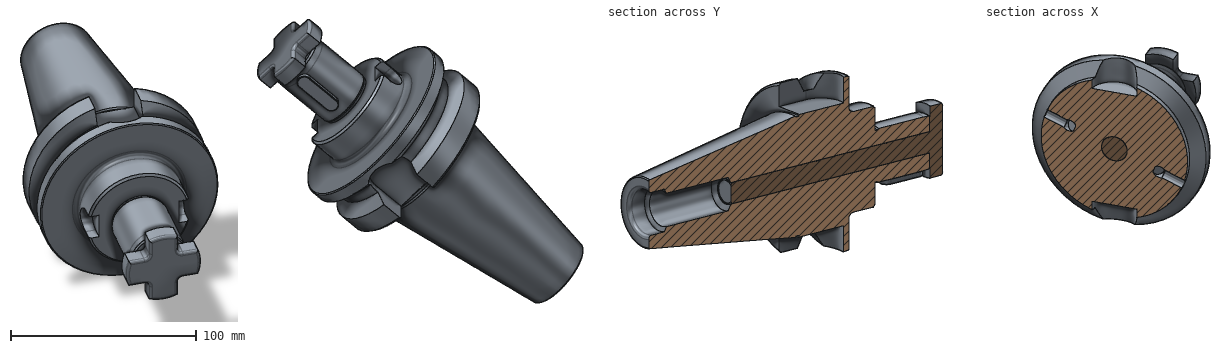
import cadquery as cq
import math

SMALL_END_RADIUS = 20.0
SMALL_END_CHAMFER = 0.6
TAPER_LENGTH = 101.8
TAPER_RATIO = 7 / 24
TAPER_END_RADIUS = SMALL_END_RADIUS + TAPER_LENGTH * TAPER_RATIO / 2
UNDERCUT_DEPTH = 0.6
UNDERCUT_RAMP = 1.0

FLANGE_RADIUS = 50.0
FLANGE_START = 104.7
FLANGE_END = 139.5
FLANGE_BACK_CHAMFER = 1.2
FLANGE_FRONT_CHAMFER = 0.6

GROOVE_FLOOR_RADIUS = 42.2
GROOVE_FLOOR_START = 121.9
GROOVE_FLOOR_END = 128.0
GROOVE_FLANK_ANGLE = 30
GROOVE_FLANK_RUN = (FLANGE_RADIUS - GROOVE_FLOOR_RADIUS) * math.tan(math.radians(GROOVE_FLANK_ANGLE))

COLLAR_RADIUS = 29.0
COLLAR_END = 157.7
COLLAR_CHAMFER = 1.2
COLLAR_ROOT_FILLET = 3.0

SPIGOT_RADIUS = 16.0
SPIGOT_RELIEF_END = 160.0
SPIGOT_LEAD_START = 190.9
SPIGOT_LEAD_END = 194.5
SPIGOT_LEAD_DROP = 0.2
SPIGOT_END = 195.8
SPIGOT_END_RADIUS = 15.2

PILOT_RADIUS = 12.7
MOUTH_ROUNDING = 2.0
PILOT_DEPTH = 10.9
THREAD_RADIUS = 10.2
THREAD_DEPTH = 55.3
STEP_CONE_DEPTH = 1.5
DRILL_POINT_HALF_ANGLE = 59
SCREW_HOLE_RADIUS = 7.2
DRILL_POINT_LENGTH = (THREAD_RADIUS - SCREW_HOLE_RADIUS) / math.tan(math.radians(DRILL_POINT_HALF_ANGLE))
SCREW_HOLE_START = THREAD_DEPTH + DRILL_POINT_LENGTH

DRIVE_SLOT_WIDTH = 25.8
DRIVE_SLOT_END = 136.2
DRIVE_SLOT_FLOOR = 35.0

COLLAR_SLOT_WIDTH = 14.3
COLLAR_SLOT_START = 144.0
COLLAR_SLOT_FLOOR = 22.5

COOLANT_ANGLE = 20
COOLANT_PITCH_RADIUS = 41.8
COOLANT_TILT = 35
COOLANT_DIAMETER = 6.3
COOLANT_DEPTH = 26.6
PLUG_HOLE_DIAMETER = 5.0
PLUG_HOLE_X = (GROOVE_FLOOR_START + GROOVE_FLOOR_END) / 2
PLUG_HOLE_DEPTH = 12.3

KEY_START = 164.9
KEY_LENGTH = 28.0
KEY_WIDTH = 8.0
KEY_HEIGHT = 7.0
KEY_OUTER_Z = -18.5
KEY_CHAMFER = 0.5

HEAD_DIAMETER = 42.0
HEAD_RADIUS = HEAD_DIAMETER / 2
HEAD_END = 204.8
LOBE_WIDTH = 16.0
NOTCH_FILLET = 2.9
HEAD_EDGE_FILLET = 1.6
SCREW_TIP_CHAMFER = 0.8


def revolve_about_x(profile):
    """Solid of revolution about X of a closed profile drawn as (x, radius)."""
    return profile.close().revolve(360, (0, 0, 0), (1, 0, 0))


def holder_blank():
    profile = (
        cq.Workplane("XZ")
        .moveTo(0, 0)
        .lineTo(0, SMALL_END_RADIUS - SMALL_END_CHAMFER)
        .lineTo(SMALL_END_CHAMFER, SMALL_END_RADIUS + SMALL_END_CHAMFER * TAPER_RATIO / 2)
        .lineTo(TAPER_LENGTH, TAPER_END_RADIUS)
        .lineTo(TAPER_LENGTH + UNDERCUT_RAMP, TAPER_END_RADIUS - UNDERCUT_DEPTH)
        .lineTo(FLANGE_START, TAPER_END_RADIUS - UNDERCUT_DEPTH)
        .lineTo(FLANGE_START, FLANGE_RADIUS - FLANGE_BACK_CHAMFER)
        .lineTo(FLANGE_START + FLANGE_BACK_CHAMFER, FLANGE_RADIUS)
        .lineTo(GROOVE_FLOOR_START - GROOVE_FLANK_RUN, FLANGE_RADIUS)
        .lineTo(GROOVE_FLOOR_START, GROOVE_FLOOR_RADIUS)
        .lineTo(GROOVE_FLOOR_END, GROOVE_FLOOR_RADIUS)
        .lineTo(GROOVE_FLOOR_END + GROOVE_FLANK_RUN, FLANGE_RADIUS)
        .lineTo(FLANGE_END - FLANGE_FRONT_CHAMFER, FLANGE_RADIUS)
        .lineTo(FLANGE_END, FLANGE_RADIUS - FLANGE_FRONT_CHAMFER)
        .lineTo(FLANGE_END, COLLAR_RADIUS + COLLAR_ROOT_FILLET)
        .radiusArc((FLANGE_END + COLLAR_ROOT_FILLET, COLLAR_RADIUS), -COLLAR_ROOT_FILLET)
        .lineTo(COLLAR_END - COLLAR_CHAMFER, COLLAR_RADIUS)
        .lineTo(COLLAR_END, COLLAR_RADIUS - COLLAR_CHAMFER)
        .lineTo(COLLAR_END, SPIGOT_RADIUS - UNDERCUT_DEPTH)
        .lineTo(SPIGOT_RELIEF_END - UNDERCUT_RAMP, SPIGOT_RADIUS - UNDERCUT_DEPTH)
        .lineTo(SPIGOT_RELIEF_END, SPIGOT_RADIUS)
        .lineTo(SPIGOT_LEAD_START, SPIGOT_RADIUS)
        .lineTo(SPIGOT_LEAD_END, SPIGOT_RADIUS - SPIGOT_LEAD_DROP)
        .lineTo(SPIGOT_END, SPIGOT_END_RADIUS)
        .lineTo(SPIGOT_END, 0)
    )
    return revolve_about_x(profile)


def central_bore():
    profile = (
        cq.Workplane("XZ")
        .moveTo(0, 0)
        .lineTo(0, PILOT_RADIUS + MOUTH_ROUNDING)
        .radiusArc((MOUTH_ROUNDING, PILOT_RADIUS), -MOUTH_ROUNDING)
        .lineTo(PILOT_DEPTH, PILOT_RADIUS)
        .lineTo(PILOT_DEPTH + STEP_CONE_DEPTH, THREAD_RADIUS)
        .lineTo(THREAD_DEPTH, THREAD_RADIUS)
        .lineTo(SCREW_HOLE_START, SCREW_HOLE_RADIUS)
        .lineTo(SPIGOT_END, SCREW_HOLE_RADIUS)
        .lineTo(SPIGOT_END, 0)
    )
    return revolve_about_x(profile)


def drive_slot():
    """Slot on the +Z side, open toward the taper, with a round end."""
    round_center = DRIVE_SLOT_END - DRIVE_SLOT_WIDTH / 2
    height = FLANGE_RADIUS - DRIVE_SLOT_FLOOR
    return (
        cq.Workplane("XY", origin=(0, 0, DRIVE_SLOT_FLOOR))
        .moveTo(FLANGE_START, -DRIVE_SLOT_WIDTH / 2)
        .lineTo(round_center, -DRIVE_SLOT_WIDTH / 2)
        .threePointArc((DRIVE_SLOT_END, 0), (round_center, DRIVE_SLOT_WIDTH / 2))
        .lineTo(FLANGE_START, DRIVE_SLOT_WIDTH / 2)
        .close()
        .extrude(height)
    )


def collar_slot():
    """Slot on the -Y side, open toward the spigot, with a round end."""
    round_center = COLLAR_SLOT_START + COLLAR_SLOT_WIDTH / 2
    return (
        cq.Workplane("XZ", origin=(0, -COLLAR_SLOT_FLOOR, 0))
        .moveTo(COLLAR_END, -COLLAR_SLOT_WIDTH / 2)
        .lineTo(round_center, -COLLAR_SLOT_WIDTH / 2)
        .threePointArc((COLLAR_SLOT_START, 0), (round_center, COLLAR_SLOT_WIDTH / 2))
        .lineTo(COLLAR_END, COLLAR_SLOT_WIDTH / 2)
        .close()
        .extrude(COLLAR_RADIUS - COLLAR_SLOT_FLOOR)
    )


def coolant_holes():
    """Tilted channel from the flange back face and the radial plug hole above it, on the +Y side."""
    tilt = math.radians(COOLANT_TILT)
    direction = cq.Vector(math.cos(tilt), -math.sin(tilt), 0)
    mouth = cq.Vector(FLANGE_START, COOLANT_PITCH_RADIUS, 0)
    lead_in = COOLANT_DIAMETER
    channel = cq.Solid.makeCylinder(
        COOLANT_DIAMETER / 2, COOLANT_DEPTH + lead_in, mouth - direction * lead_in, direction
    )
    plug_hole = cq.Solid.makeCylinder(
        PLUG_HOLE_DIAMETER / 2,
        PLUG_HOLE_DEPTH,
        cq.Vector(PLUG_HOLE_X, GROOVE_FLOOR_RADIUS, 0),
        cq.Vector(0, -1, 0),
    )
    holes = cq.Workplane(channel).union(cq.Workplane(plug_hole))
    return holes.rotate((0, 0, 0), (1, 0, 0), COOLANT_ANGLE)


def half_turn_pair(cutter):
    """The cutter and its copy turned half a turn about X."""
    return [cutter.rotate((0, 0, 0), (1, 0, 0), angle) for angle in (0, 180)]


def make_feather_key():
    key = (
        cq.Workplane("XY", origin=(KEY_START + KEY_LENGTH / 2, 0, KEY_OUTER_Z))
        .slot2D(KEY_LENGTH, KEY_WIDTH)
        .extrude(KEY_HEIGHT)
    )
    return key.faces("<Z").edges().chamfer(KEY_CHAMFER)


def make_holder(key):
    holder = holder_blank().cut(central_bore())
    for feature in (drive_slot(), collar_slot(), coolant_holes()):
        for cutter in half_turn_pair(feature):
            holder = holder.cut(cutter)
    return holder.cut(key)


def screw_head():
    """Disc with four corner notches that leave a cross of four lobes."""
    disc = cq.Workplane("YZ", origin=(SPIGOT_END, 0, 0)).circle(HEAD_RADIUS).extrude(HEAD_END - SPIGOT_END)
    notch = (
        cq.Workplane("YZ", origin=(SPIGOT_END, LOBE_WIDTH / 2, LOBE_WIDTH / 2))
        .rect(HEAD_RADIUS, HEAD_RADIUS, centered=False)
        .extrude(HEAD_END - SPIGOT_END)
        .edges("|X and <Y and <Z")
        .fillet(NOTCH_FILLET)
    )
    for angle in (0, 90, 180, 270):
        disc = disc.cut(notch.rotate((0, 0, 0), (1, 0, 0), angle))
    return disc.faces(">X").edges().fillet(HEAD_EDGE_FILLET)


def make_retaining_screw():
    shank_length = SPIGOT_END - SCREW_HOLE_START
    shank = (
        cq.Workplane("YZ", origin=(SCREW_HOLE_START, 0, 0))
        .circle(SCREW_HOLE_RADIUS)
        .extrude(shank_length)
        .faces("<X")
        .chamfer(SCREW_TIP_CHAMFER)
    )
    return screw_head().union(shank)


feather_key = make_feather_key()
holder = make_holder(feather_key)
retaining_screw = make_retaining_screw()

result = cq.Compound.makeCompound([holder.val(), feather_key.val(), retaining_screw.val()])